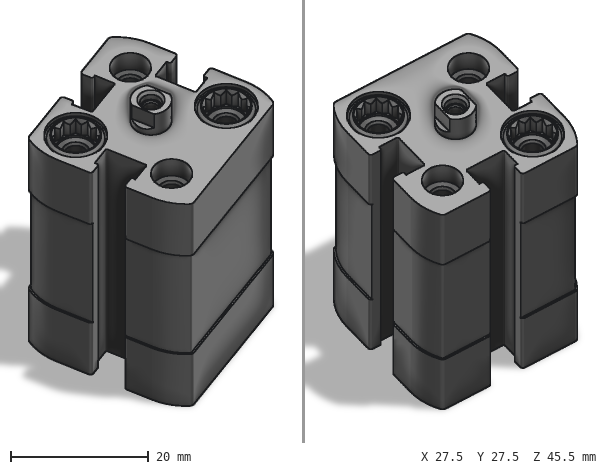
import cadquery as cq
import math

WIDTH = 27.5
HALF = WIDTH / 2
TOTAL_HEIGHT = 45.55
ROD_HEIGHT = 4.25
HOUSING_HEIGHT = TOTAL_HEIGHT - ROD_HEIGHT
CAP_HEIGHT = 10.55
BARREL_INSET = 0.3
CORNER_RADIUS = 10.0
EDGE_RADIUS = 0.85

SLOT_OFFSET = 0.65
SLOT_MOUTH = 5.4
SLOT_WIDTH = 6.8
SLOT_LIP = 2.1
SLOT_DEPTH = 5.45
SLOT_FLOOR_RADIUS = 0.25
LIP_RADIUS = 0.5
LIP_INNER_RADIUS = 0.3

HOLE_OFFSET = 8.0
HOLE_DIAMETER = 3.3
HOLE_MOUTH_DIAMETER = 4.0
COUNTERBORE_DIAMETER = 6.0
COUNTERBORE_DEPTH = 3.4

RECESS_DIAMETER = 9.2
RECESS_DEPTH = 0.7
COLLAR_BASE_DIAMETER = 8.5
COLLAR_TOP_DIAMETER = 7.45
SOCKET_FLATS = 6.0
SOCKET_DEPTH = 3.0
SOCKET_LEAD_DIAMETER = 7.15
SOCKET_LEAD_ANGLE = 55.0

ROD_DIAMETER = 6.0
ROD_FLATS = 4.7
FLAT_HEIGHT = 2.8
FLAT_RUNOUT_ANGLE = 30.0
ROD_MOUTH_DIAMETER = 4.0
ROD_BORE_DIAMETER = 3.25
ROD_MOUTH_DEPTH = 0.55
ROD_BORE_DEPTH = 1.55
ROD_PILOT_DIAMETER = 2.3
ROD_PILOT_MOUTH_DIAMETER = 2.75
ROD_PILOT_DEPTH = 3.2
DRILL_POINT_ANGLE = 118.0


def section_outline(inset):
    """Cross-section of the housing, shrunk by inset, without slots."""
    half = HALF - inset
    corner = CORNER_RADIUS - inset
    edge = EDGE_RADIUS - inset
    corner_y = HALF - CORNER_RADIUS
    between = CORNER_RADIUS - EDGE_RADIUS
    edge_x = HALF - EDGE_RADIUS
    blend_angle = math.acos((edge_x - HOLE_OFFSET) / between)
    edge_y = corner_y + between * math.sin(blend_angle)

    def on_corner(angle):
        return HOLE_OFFSET + corner * math.cos(angle), corner_y + corner * math.sin(angle)

    def on_edge(angle):
        return edge_x + edge * math.cos(angle), edge_y + edge * math.sin(angle)

    corner_middle = on_corner((math.pi / 2 + blend_angle) / 2)
    blend = on_corner(blend_angle)
    edge_middle = on_edge(blend_angle / 2)

    def below(point):
        return point[0], -point[1]

    return (
        cq.Workplane("XY")
        .moveTo(0, half)
        .lineTo(HOLE_OFFSET, half)
        .threePointArc(corner_middle, blend)
        .threePointArc(edge_middle, (half, edge_y))
        .lineTo(half, -edge_y)
        .threePointArc(below(edge_middle), below(blend))
        .threePointArc(below(corner_middle), (HOLE_OFFSET, -half))
        .lineTo(0, -half)
        .mirrorY()
    )


def slot_cutter(height):
    """T-slot opening toward -Y, axis on X = 0, mouth at the cap face Y = -HALF."""
    lip_y = -HALF + SLOT_LIP
    floor_y = -HALF + SLOT_DEPTH
    neck = cq.Workplane("XY").rect(SLOT_MOUTH, 2 * SLOT_LIP).extrude(height).translate((0, -HALF, 0))
    chamber = (
        cq.Workplane("XY")
        .rect(SLOT_WIDTH, floor_y - lip_y)
        .extrude(height)
        .translate((0, (floor_y + lip_y) / 2, 0))
        .edges("|Z and >Y")
        .fillet(SLOT_FLOOR_RADIUS)
    )
    slot = neck.union(chamber)
    for lip_x in (-SLOT_MOUTH / 2, SLOT_MOUTH / 2):
        lip_edge = cq.selectors.NearestToPointSelector((lip_x, lip_y, height / 2))
        slot = slot.edges(lip_edge).fillet(LIP_INNER_RADIUS)
    return slot


def flare_cutter(height):
    """Material removed to round both lips of a slot placed as in slot_cutter."""
    half_mouth = SLOT_MOUTH / 2
    flare_half = half_mouth + LIP_RADIUS
    inner_y = -HALF + LIP_RADIUS
    bend = LIP_RADIUS * (1 - math.sqrt(0.5))
    return (
        cq.Workplane("XY")
        .moveTo(-flare_half, -HALF)
        .threePointArc((-half_mouth - bend, -HALF + bend), (-half_mouth, inner_y))
        .lineTo(half_mouth, inner_y)
        .threePointArc((half_mouth + bend, -HALF + bend), (flare_half, -HALF))
        .close()
        .extrude(height)
    )


def placed_on_sides(cutter):
    """One cutter for the -Y side, one for +Y and one for -X, each off centre."""
    front = cutter.translate((SLOT_OFFSET, 0, 0))
    back = front.rotate((0, 0, 0), (0, 0, 1), 180)
    left = cutter.rotate((0, 0, 0), (0, 0, 1), -90).translate((0, SLOT_OFFSET, 0))
    return [front, back, left]


def make_cap():
    cap = section_outline(0).extrude(CAP_HEIGHT)
    for flare in placed_on_sides(flare_cutter(CAP_HEIGHT)):
        cap = cap.cut(flare)
    return cap


def mounting_hole():
    """Through hole with a countersunk mouth and a counterbore at the housing top."""
    hole_radius = HOLE_DIAMETER / 2
    mouth_radius = HOLE_MOUTH_DIAMETER / 2
    bore_radius = COUNTERBORE_DIAMETER / 2
    floor_z = HOUSING_HEIGHT - COUNTERBORE_DEPTH
    return (
        cq.Workplane("XZ")
        .polyline([
            (0, 0),
            (hole_radius, 0),
            (hole_radius, floor_z - (mouth_radius - hole_radius)),
            (mouth_radius, floor_z),
            (bore_radius, floor_z),
            (bore_radius, HOUSING_HEIGHT),
            (0, HOUSING_HEIGHT),
        ])
        .close()
        .revolve(360, (0, 0, 0), (0, 1, 0))
    )


def collar_cutters():
    """Cutters for the round recess around a conical collar and for the lead-in cone inside the collar."""
    recess_z = HOUSING_HEIGHT - RECESS_DEPTH
    lead_radius = SOCKET_LEAD_DIAMETER / 2
    socket_radius = SOCKET_FLATS / 2
    lead_slope = 1 / math.tan(math.radians(SOCKET_LEAD_ANGLE / 2))
    lead_height = (lead_radius - socket_radius) * lead_slope
    profile = cq.Workplane("XZ")
    ring = (
        profile.polyline([
            (RECESS_DIAMETER / 2, HOUSING_HEIGHT),
            (RECESS_DIAMETER / 2, recess_z),
            (COLLAR_BASE_DIAMETER / 2, recess_z),
            (COLLAR_TOP_DIAMETER / 2, HOUSING_HEIGHT),
        ])
        .close()
        .revolve(360, (0, 0, 0), (0, 1, 0))
    )
    lead_in = (
        profile.polyline([
            (0, HOUSING_HEIGHT),
            (lead_radius, HOUSING_HEIGHT),
            (socket_radius, HOUSING_HEIGHT - lead_height),
            (0, HOUSING_HEIGHT - lead_height),
        ])
        .close()
        .revolve(360, (0, 0, 0), (0, 1, 0))
    )
    return ring, lead_in


def twelve_point_socket():
    """Two hexagons crossed at 30 degrees."""
    across_points = SOCKET_FLATS / math.cos(math.pi / 6)
    hexagon = (
        cq.Workplane("XY")
        .workplane(offset=HOUSING_HEIGHT - SOCKET_DEPTH)
        .polygon(6, across_points)
        .extrude(SOCKET_DEPTH)
    )
    return hexagon.union(hexagon.rotate((0, 0, 0), (0, 0, 1), 30))


def make_housing():
    barrel_height = HOUSING_HEIGHT - 2 * CAP_HEIGHT
    barrel = section_outline(BARREL_INSET).extrude(barrel_height).translate((0, 0, CAP_HEIGHT))
    cap = make_cap()
    body = cap.union(barrel).union(cap.translate((0, 0, HOUSING_HEIGHT - CAP_HEIGHT)))

    for slot in placed_on_sides(slot_cutter(HOUSING_HEIGHT)):
        body = body.cut(slot)

    hole = mounting_hole()
    for x in (-HOLE_OFFSET, HOLE_OFFSET):
        for y in (-HOLE_OFFSET, HOLE_OFFSET):
            has_socket = x == y
            if has_socket:
                cutters = (hole, *collar_cutters(), twelve_point_socket())
            else:
                cutters = (hole,)
            for cutter in cutters:
                body = body.cut(cutter.translate((x, y, 0)))
    return body


def rod_bore():
    """Countersunk bore, narrower pilot and drill point, from the rod top down."""
    mouth_radius = ROD_MOUTH_DIAMETER / 2
    bore_radius = ROD_BORE_DIAMETER / 2
    pilot_radius = ROD_PILOT_DIAMETER / 2
    pilot_mouth_radius = ROD_PILOT_MOUTH_DIAMETER / 2
    bore_floor_z = TOTAL_HEIGHT - ROD_BORE_DEPTH
    point_height = pilot_radius / math.tan(math.radians(DRILL_POINT_ANGLE / 2))
    return (
        cq.Workplane("XZ")
        .polyline([
            (0, TOTAL_HEIGHT),
            (mouth_radius, TOTAL_HEIGHT),
            (bore_radius, TOTAL_HEIGHT - ROD_MOUTH_DEPTH),
            (bore_radius, bore_floor_z),
            (pilot_mouth_radius, bore_floor_z),
            (pilot_radius, bore_floor_z - (pilot_mouth_radius - pilot_radius)),
            (pilot_radius, TOTAL_HEIGHT - ROD_PILOT_DEPTH),
            (0, TOTAL_HEIGHT - ROD_PILOT_DEPTH - point_height),
        ])
        .close()
        .revolve(360, (0, 0, 0), (0, 1, 0))
    )


def wrench_flat():
    """Cutter for the flat on the +Y side of the rod, with a sloping foot."""
    flat_y = ROD_FLATS / 2
    outer_y = ROD_DIAMETER / 2
    foot_z = TOTAL_HEIGHT - FLAT_HEIGHT
    drop = (outer_y - flat_y) * math.tan(math.radians(FLAT_RUNOUT_ANGLE))
    return (
        cq.Workplane("YZ")
        .polyline([
            (flat_y, TOTAL_HEIGHT),
            (flat_y, foot_z),
            (outer_y, foot_z - drop),
            (outer_y, TOTAL_HEIGHT),
        ])
        .close()
        .extrude(ROD_DIAMETER / 2, both=True)
    )


def make_rod():
    rod = cq.Workplane("XY").workplane(offset=HOUSING_HEIGHT).circle(ROD_DIAMETER / 2).extrude(ROD_HEIGHT)
    flat = wrench_flat()
    for cutter in (flat, flat.mirror("XZ"), rod_bore()):
        rod = rod.cut(cutter)
    return rod


housing = make_housing()
rod = make_rod()
result = cq.Compound.makeCompound([housing.val(), rod.val()])